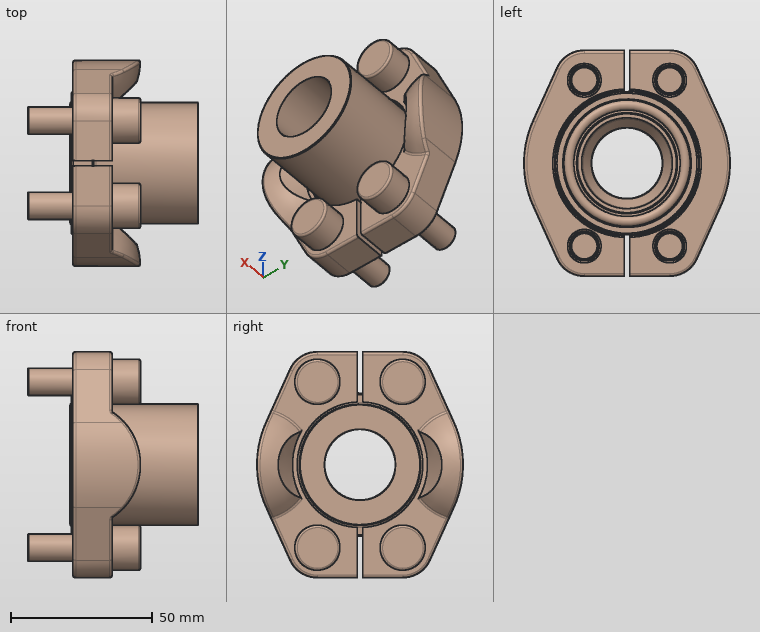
import cadquery as cq
import math


bolt_y = 30.2 / 2
bolt_z = 58.7 / 2
bolt_points = [(side_y * bolt_y, side_z * bolt_z) for side_y in (-1, 1) for side_z in (-1, 1)]
shank_radius = 9.73 / 2
shank_length = 30.0
shank_tip_chamfer = 0.35
head_radius = 16.0 / 2
head_length = 10.0
head_edge_fillet = 0.8

flange_front = 1.0
flange_back = flange_front + 14.0
flange_half_height = 40.0
flange_half_width = 36.5
flange_edge_fillet = 1.0
corner_radius = flange_half_height - bolt_z
split_gap = 1.8
screw_hole_radius = 10.5 / 2
screw_hole_chamfer = 0.7

lobe_radius = 24.0
lobe_back = flange_front + lobe_radius
clearance_radius = 23.9
clearance_half_angle = math.radians(30)

nipple_front = 0.5
collar_radius = 50.8 / 2
collar_back = nipple_front + 8.0
collar_chamfer = 0.6
pipe_radius = 43.0 / 2
pipe_back = 45.5
pipe_end_chamfer = 0.3
root_fillet = 0.7
bore_radius = 25.0 / 2
bore_edge_fillet = 1.0
mouth_radius = 31.4 / 2
mouth_chamfer = 0.4
mouth_depth = 5.8

recess_clearance = 0.3
recess_radius = collar_radius + recess_clearance
recess_chamfer = 0.6
bore_clearance = 0.05
flange_bore_radius = pipe_radius + root_fillet + bore_clearance

groove_outer_radius = 44.7 / 2
groove_inner_radius = 35.8 / 2
groove_edge_chamfer = 0.4
ring_section_radius = 3.53 / 2
ring_centre_radius = groove_outer_radius - ring_section_radius
groove_floor = 2 * ring_section_radius


def cylinder_x(radius, x_start, x_end, y=0.0, z=0.0):
    """Cylinder parallel to X between two X positions."""
    return cq.Workplane("YZ", origin=(x_start, y, z)).circle(radius).extrude(x_end - x_start)


def cone_x(start_radius, end_radius, x_start, x_end, y=0.0, z=0.0):
    """Cone frustum parallel to X between two X positions."""
    start = cq.Vector(x_start, y, z)
    along_x = cq.Vector(1, 0, 0)
    return cq.Workplane(obj=cq.Solid.makeCone(start_radius, end_radius, x_end - x_start, start, along_x))


def flange_prism(x_end):
    """Flange outline as a prism: two side arcs and four corner arcs joined by tangent lines."""
    centre_distance = math.hypot(bolt_y, bolt_z)
    tangent_spread = math.acos((flange_half_width - corner_radius) / centre_distance)
    normal = math.atan2(bolt_z, bolt_y) - tangent_spread
    corner_middle = (normal + math.pi / 2) / 2

    side_y = flange_half_width * math.cos(normal)
    side_z = flange_half_width * math.sin(normal)
    corner_y = bolt_y + corner_radius * math.cos(normal)
    corner_z = bolt_z + corner_radius * math.sin(normal)
    middle_y = bolt_y + corner_radius * math.cos(corner_middle)
    middle_z = bolt_z + corner_radius * math.sin(corner_middle)
    half = (
        cq.Workplane("YZ", origin=(flange_front, 0, 0))
        .moveTo(0, flange_half_height)
        .lineTo(bolt_y, flange_half_height)
        .threePointArc((middle_y, middle_z), (corner_y, corner_z))
        .lineTo(side_y, side_z)
        .threePointArc((flange_half_width, 0), (side_y, -side_z))
        .lineTo(corner_y, -corner_z)
        .threePointArc((middle_y, -middle_z), (bolt_y, -flange_half_height))
        .lineTo(0, -flange_half_height)
        .close()
        .extrude(x_end - flange_front)
    )
    return half.union(half.mirror("XZ"))


def make_lobe(side):
    """Ball centred on the flange rim, trimmed to the flange outline; side is -1 or 1."""
    centre_y = side * flange_half_width
    pole = (lobe_radius, 0)
    rim = (0, side * lobe_radius)
    middle = (lobe_radius * math.cos(math.pi / 4), side * lobe_radius * math.sin(math.pi / 4))
    ball = (
        cq.Workplane("XY", origin=(flange_front, centre_y, 0))
        .lineTo(*pole)
        .threePointArc(middle, rim)
        .close()
        .revolve(360, (0, 0, 0), (1, 0, 0))
    )
    return ball.intersect(flange_prism(lobe_back))


def make_whole_flange():
    """Flange before it is split."""
    flange = flange_prism(flange_back)
    for side in (-1, 1):
        flange = flange.union(make_lobe(side))
    flange = flange.edges("not |X").fillet(flange_edge_fillet)

    clearance_end = clearance_radius + (lobe_back - flange_back) * math.tan(clearance_half_angle)
    recess_mouth = recess_radius + recess_chamfer
    flange = (
        flange.cut(cylinder_x(flange_bore_radius, flange_front, lobe_back))
        .cut(cylinder_x(recess_radius, flange_front, collar_back))
        .cut(cone_x(recess_mouth, recess_radius, flange_front, flange_front + recess_chamfer))
        .cut(cone_x(clearance_radius, clearance_end, flange_back, lobe_back))
    )

    hole_mouth = screw_hole_radius + screw_hole_chamfer
    chamfer_end = flange_front + screw_hole_chamfer
    for y, z in bolt_points:
        flange = flange.cut(cylinder_x(screw_hole_radius, flange_front, flange_back, y, z))
        flange = flange.cut(cone_x(hole_mouth, screw_hole_radius, flange_front, chamfer_end, y, z))
    return flange


def make_flange_half(whole_flange, side):
    """The part of the flange beyond the split gap; side is -1 or 1."""
    half_space = cq.Workplane("XY").box(
        lobe_back, flange_half_width, 2 * flange_half_height, centered=(False, False, True)
    )
    half_space = half_space.translate((0, split_gap / 2, 0))
    if side < 0:
        half_space = half_space.mirror("XZ")
    return whole_flange.intersect(half_space)


def make_nipple():
    """Pipe stub with a collar, a flared mouth and the O-ring groove, revolved about X."""
    cone_start = nipple_front + mouth_chamfer
    cone_end = nipple_front + mouth_depth
    cone_angle = math.atan2(mouth_radius - bore_radius, cone_end - cone_start)
    tangent = bore_edge_fillet * math.tan(cone_angle / 2)
    cone_tangent_x = cone_end - tangent * math.cos(cone_angle)
    cone_tangent_radius = bore_radius + tangent * math.sin(cone_angle)
    profile = (
        cq.Workplane("XY")
        .moveTo(pipe_back, bore_radius)
        .lineTo(cone_end + tangent, bore_radius)
        .radiusArc((cone_tangent_x, cone_tangent_radius), -bore_edge_fillet)
        .lineTo(cone_start, mouth_radius)
        .lineTo(nipple_front, mouth_radius + mouth_chamfer)
        .lineTo(nipple_front, groove_inner_radius - groove_edge_chamfer)
        .lineTo(nipple_front + groove_edge_chamfer, groove_inner_radius)
        .lineTo(groove_floor, groove_inner_radius)
        .lineTo(groove_floor, groove_outer_radius)
        .lineTo(nipple_front + groove_edge_chamfer, groove_outer_radius)
        .lineTo(nipple_front, groove_outer_radius + groove_edge_chamfer)
        .lineTo(nipple_front, collar_radius - collar_chamfer)
        .lineTo(nipple_front + collar_chamfer, collar_radius)
        .lineTo(collar_back - collar_chamfer, collar_radius)
        .lineTo(collar_back, collar_radius - collar_chamfer)
        .lineTo(collar_back, pipe_radius + root_fillet)
        .radiusArc((collar_back + root_fillet, pipe_radius), -root_fillet)
        .lineTo(pipe_back - pipe_end_chamfer, pipe_radius)
        .lineTo(pipe_back, pipe_radius - pipe_end_chamfer)
        .close()
    )
    return profile.revolve(360, (0, 0, 0), (1, 0, 0))


def make_o_ring():
    """Torus around X with its crown at x = 0."""
    centre = cq.Vector(ring_section_radius, 0, 0)
    along_x = cq.Vector(1, 0, 0)
    return cq.Workplane(obj=cq.Solid.makeTorus(ring_centre_radius, ring_section_radius, centre, along_x))


def make_screw(y, z):
    """Screw parallel to X, its head seated on the back of the flange."""
    shank = cylinder_x(shank_radius, flange_back - shank_length, flange_back, y, z)
    shank = shank.faces("<X").chamfer(shank_tip_chamfer)
    head = cylinder_x(head_radius, flange_back, flange_back + head_length, y, z)
    head = head.faces(">X").edges().fillet(head_edge_fillet)
    return shank.union(head)


nipple = make_nipple()
o_ring = make_o_ring()
whole_flange = make_whole_flange()
flange_halves = [make_flange_half(whole_flange, side) for side in (-1, 1)]
screws = [make_screw(y, z) for y, z in bolt_points]

result = cq.Compound.makeCompound(
    [
        nipple.val(),
        o_ring.val(),
        *[half.val() for half in flange_halves],
        *[screw.val() for screw in screws],
    ]
)